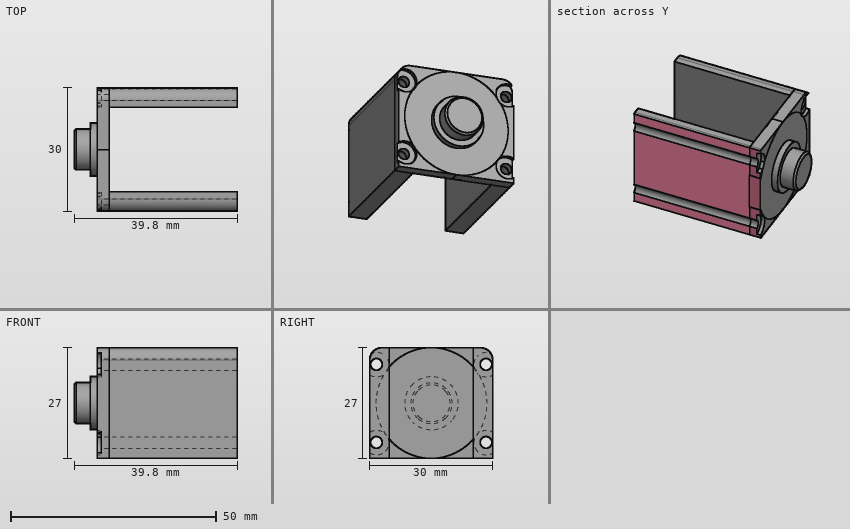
import cadquery as cq

total_length = 39.8
width = 30.0
height = 27.0
top_corner_radius = 3.0

flange_thickness = 3.0
wall_thickness = 4.75

disc_diameter = height
collar_diameter = 13.0
collar_length = 1.6
shaft_diameter = 10.0
shaft_length = 4.0
shaft_chamfer = 0.5

hole_diameter = 2.8
hole_spacing_y = 26.7
hole_spacing_z = 19.0
hole_pattern_drop = 0.1
counterbore_diameter = 6.0
counterbore_depth = 1.0

shaft_tip_x = -(collar_length + shaft_length)
wall_end_x = total_length + shaft_tip_x


def cylinder_x(diameter, start_x, end_x):
    """Cylinder on the X axis between two X positions."""
    return cq.Workplane("YZ", origin=(start_x, 0, 0)).circle(diameter / 2).extrude(end_x - start_x)


def profile_block(start_x, end_x):
    """Full-width block whose two upper long edges are rounded."""
    return (
        cq.Workplane("YZ", origin=(start_x, 0, 0))
        .rect(width, height)
        .extrude(end_x - start_x)
        .edges("|X and >Z")
        .fillet(top_corner_radius)
    )


def side_box(side, inner_y, start_x, end_x):
    """Box on one side (+1 or -1 in Y), from inner_y out to the outer face."""
    depth_y = width / 2 - inner_y
    centre = ((start_x + end_x) / 2, side * (inner_y + depth_y / 2), 0)
    return cq.Workplane("XY", origin=centre).box(end_x - start_x, depth_y, height)


def corner_cylinders(diameter, end_x):
    """Four cylinders at the screw positions, from the flange front face to end_x."""
    return (
        cq.Workplane("YZ", origin=(0, 0, -hole_pattern_drop))
        .rect(hole_spacing_y, hole_spacing_z, forConstruction=True)
        .vertices()
        .circle(diameter / 2)
        .extrude(end_x)
    )


screw_holes = corner_cylinders(hole_diameter, wall_end_x)
counterbores = corner_cylinders(counterbore_diameter, counterbore_depth)
flange_disc = cylinder_x(disc_diameter, 0, flange_thickness)


def make_flange_half(side):
    """Outer part of the flange on one side of the disc, with two counterbored holes."""
    half = profile_block(0, flange_thickness).intersect(side_box(side, 0, 0, flange_thickness))
    return half.cut(flange_disc).cut(screw_holes).cut(counterbores)


def make_side_wall(side):
    """Long wall behind the flange, with the two screw holes running through it."""
    block = profile_block(flange_thickness, wall_end_x)
    inner_y = width / 2 - wall_thickness
    wall = block.intersect(side_box(side, inner_y, flange_thickness, wall_end_x))
    return wall.cut(screw_holes)


def make_disc():
    """Round flange centre with its raised collar; the counterbores nick its rim."""
    collar = cylinder_x(collar_diameter, -collar_length, 0)
    return flange_disc.union(collar).cut(counterbores)


def make_shaft():
    """Shaft stub standing on the collar, chamfered at its tip."""
    return cylinder_x(shaft_diameter, shaft_tip_x, -collar_length).faces("<X").chamfer(shaft_chamfer)


sides = (-1, 1)
flange_halves = [make_flange_half(side) for side in sides]
side_walls = [make_side_wall(side) for side in sides]
disc = make_disc()
shaft = make_shaft()

result = cq.Compound.makeCompound(
    [
        *[half.val() for half in flange_halves],
        *[wall.val() for wall in side_walls],
        disc.val(),
        shaft.val(),
    ]
)